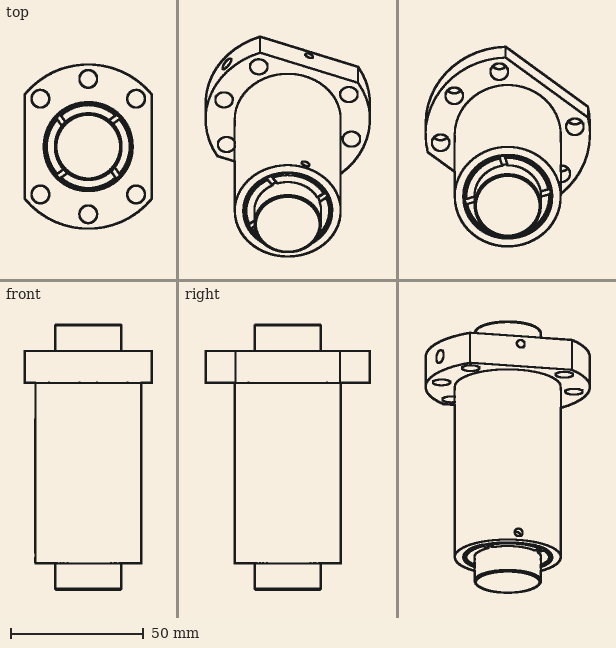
import cadquery as cq
import math

shaft_length = 100.0
shaft_diameter = 25.0
shaft_chamfer = 0.5

shaft_stickout = 10.0
body_diameter = 40.0
flange_diameter = 62.0
flange_width = 48.0
flange_thickness = 12.0
nut_bottom = shaft_stickout
nut_top = shaft_length - shaft_stickout
flange_bottom = nut_top - flange_thickness

bolt_hole_diameter = 6.6
bolt_circle_diameter = 51.0
bolt_angles = [45, 90, 135, 225, 270, 315]

port_diameter = 4.9
port_angle = (90 + 135) / 2
port_height = nut_top - flange_thickness / 2
port_depth = 12.0

wiper_diameter = 32.4
wiper_bore_diameter = 25.2
wiper_thickness = 6.0
wiper_edge_chamfer = 0.6

groove_count = 4
groove_diameter = 2.0
groove_offset = 2.7
groove_first_angle = 35.0

pin_hole_diameter = 3.0
pin_hole_inset = wiper_thickness / 2
pin_hole_angle = 180


def radial_hole(diameter, outer_radius, inner_radius, angle, height):
    """Cylinder running inward along a radius at the given angle and height."""
    direction = cq.Vector(math.cos(math.radians(angle)), math.sin(math.radians(angle)), 0)
    start = direction * inner_radius + cq.Vector(0, 0, height)
    depth = outer_radius - inner_radius
    return cq.Workplane(cq.Solid.makeCylinder(diameter / 2, depth, start, direction))


def cylinder(diameter, bottom, height):
    """Upright cylinder on the part axis."""
    return cq.Workplane("XY").workplane(offset=bottom).circle(diameter / 2).extrude(height)


def make_nut():
    """Round body under a two-flat flange with its bolt holes."""
    body = cylinder(body_diameter, nut_bottom, nut_top - nut_bottom)
    flange_disc = cylinder(flange_diameter, flange_bottom, flange_thickness)
    flats = (
        cq.Workplane("XY")
        .workplane(offset=flange_bottom)
        .rect(flange_width, flange_diameter)
        .extrude(flange_thickness)
    )
    bolt_hole = cylinder(bolt_hole_diameter, flange_bottom, flange_thickness)
    flange = flange_disc.intersect(flats)
    for angle in bolt_angles:
        hole = bolt_hole.translate((bolt_circle_diameter / 2, 0, 0)).rotate((0, 0, 0), (0, 0, 1), angle)
        flange = flange.cut(hole)
    return body.union(flange)


def wiper_ring(outer_diameter):
    """Ring around the shaft, as deep as the upper wiper."""
    wiper_bottom = nut_top - wiper_thickness
    outside = cylinder(outer_diameter, wiper_bottom, wiper_thickness)
    return outside.cut(cylinder(shaft_diameter, wiper_bottom, wiper_thickness))


def wiper_face_cuts():
    """Shaft clearance, V-shaped seam and slanted grooves in the upper end face of the nut."""
    seam_radius = wiper_diameter / 2
    seam = (
        cq.Workplane("XZ")
        .moveTo(seam_radius - wiper_edge_chamfer, nut_top)
        .lineTo(seam_radius, nut_top - wiper_edge_chamfer)
        .lineTo(seam_radius + wiper_edge_chamfer, nut_top)
        .close()
        .revolve(360, (0, 0, 0), (0, 1, 0))
    )
    groove = (
        cq.Workplane("YZ")
        .center(groove_offset, nut_top)
        .circle(groove_diameter / 2)
        .extrude(seam_radius)
        .intersect(wiper_ring(wiper_diameter))
    )
    cuts = wiper_ring(wiper_bore_diameter).union(seam)
    for index in range(groove_count):
        angle = groove_first_angle + index * 360 / groove_count
        cuts = cuts.union(groove.rotate((0, 0, 0), (0, 0, 1), angle))
    return cuts


shaft = (
    cq.Workplane("XY")
    .circle(shaft_diameter / 2)
    .extrude(shaft_length)
    .faces("<Z or >Z")
    .chamfer(shaft_chamfer)
)

face_cuts = wiper_face_cuts()
opposite_face_cuts = face_cuts.mirror("XY", (0, 0, shaft_length / 2))

port = radial_hole(
    port_diameter, flange_diameter / 2, flange_diameter / 2 - port_depth, port_angle, port_height
)
upper_pin_hole = radial_hole(
    pin_hole_diameter, flange_width / 2, wiper_diameter / 2, pin_hole_angle, nut_top - pin_hole_inset
)
lower_pin_hole = radial_hole(
    pin_hole_diameter, body_diameter / 2, wiper_diameter / 2, pin_hole_angle, nut_bottom + pin_hole_inset
)

result = (
    make_nut()
    .union(shaft)
    .cut(face_cuts)
    .cut(opposite_face_cuts)
    .cut(port)
    .cut(upper_pin_hole)
    .cut(lower_pin_hole)
)